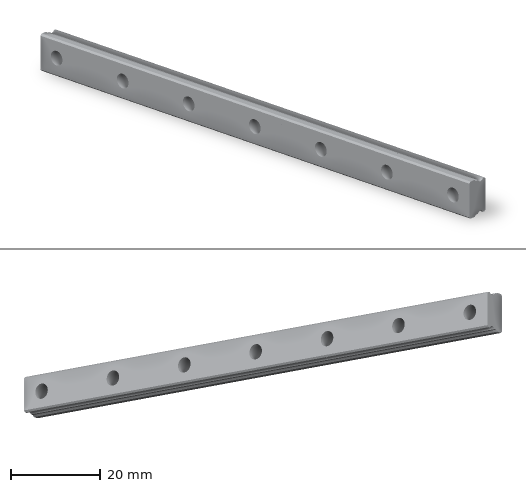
import cadquery as cq

length = 130.0
depth = 5.5
base_width = 9.0

head_width = 8.2
edge_chamfer = 0.4
base_flat_end = 1.8
shoulder_start = 2.2
groove_start = 2.9
groove_end = 4.5
groove_depth = 0.5

hole_count = 7
hole_pitch = 20.0
hole_diameter = 3.5

half_base = base_width / 2
half_head = head_width / 2
mounting_y = -depth / 2


def rail_section():
    """Closed section in the YZ plane, symmetric about the rail's mid-plane."""
    front_side = [
        (0, half_base - edge_chamfer),
        (edge_chamfer, half_base),
        (base_flat_end, half_base),
        (shoulder_start, half_head),
        (groove_start, half_head),
    ]
    groove_bottom = ((groove_start + groove_end) / 2, half_head - groove_depth)
    groove_far_edge = (groove_end, half_head)
    back_side = [
        (depth - edge_chamfer, half_head),
        (depth, half_head - edge_chamfer),
    ]

    def place(point, side):
        y, z = point
        return (mounting_y + y, side * z)

    section = cq.Workplane("YZ").moveTo(*place(front_side[0], 1))
    for point in front_side[1:]:
        section = section.lineTo(*place(point, 1))
    section = section.threePointArc(place(groove_bottom, 1), place(groove_far_edge, 1))
    for point in back_side:
        section = section.lineTo(*place(point, 1))
    for point in reversed(back_side):
        section = section.lineTo(*place(point, -1))
    section = section.lineTo(*place(groove_far_edge, -1))
    section = section.threePointArc(place(groove_bottom, -1), place(front_side[-1], -1))
    for point in reversed(front_side[:-1]):
        section = section.lineTo(*place(point, -1))
    return section.close()


def mounting_holes():
    """Plain cylinders that cross the full depth of the rail."""
    return (
        cq.Workplane("XZ")
        .rarray(hole_pitch, 1.3, hole_count, 1)
        .circle(hole_diameter / 2)
        .extrude(depth, both=True)
    )


rail = rail_section().extrude(length / 2, both=True)
result = rail.cut(mounting_holes())